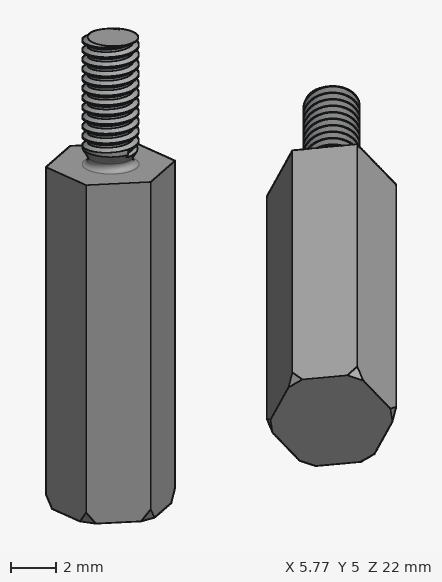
import cadquery as cq
import math

total_height = 22.0
hex_height = 16.0
across_flats = 5.0
across_corners = across_flats / math.cos(math.radians(30))

bevel_depth = 0.22
bevel_height = 0.55

major_diameter = 2.5
minor_diameter = 2.02
ten_turn_advance = 4.5
pitch = ten_turn_advance / 10
neck_diameter = 1.98
neck_radius = (major_diameter - neck_diameter) / 2
flank_angle = math.radians(30)
flank_slope = math.tan(flank_angle)
relief_arc_height = neck_radius * (1 + math.sin(flank_angle))
relief_arc_rise = neck_radius * (1 - math.cos(flank_angle))
relief_cone_height = (neck_radius - relief_arc_rise) / flank_slope
relief_height = relief_arc_height + relief_cone_height

crest_width = pitch / 8
crest_drop = 0.02
groove_overcut = 0.02
blank_overrun = 4 * pitch


def make_hex_body():
    body = cq.Workplane("XY").polygon(6, across_corners).extrude(hex_height)
    corner_radius = across_corners / 2
    bevel = (
        cq.Workplane("XZ")
        .moveTo(corner_radius - bevel_depth, 0)
        .lineTo(corner_radius, 0)
        .lineTo(corner_radius, bevel_height)
        .close()
        .extrude(across_flats / 2, both=True)
    )
    for corner in range(6):
        body = body.cut(bevel.rotate((0, 0, 0), (0, 0, 1), 60 * corner))
    return body


def make_stud():
    major_radius = major_diameter / 2
    waist_radius = neck_diameter / 2
    relief_top = hex_height + relief_height
    return (
        cq.Workplane("XZ")
        .moveTo(0, hex_height)
        .lineTo(major_radius, hex_height)
        .threePointArc(
            (waist_radius, hex_height + neck_radius),
            (waist_radius + relief_arc_rise, hex_height + relief_arc_height),
        )
        .lineTo(major_radius, relief_top)
        .lineTo(major_radius, total_height)
        .lineTo(0, total_height)
        .close()
        .revolve(360, (0, 0, 0), (0, 1, 0))
    )


def make_thread_groove():
    root_radius = minor_diameter / 2
    outer_radius = major_diameter / 2 + groove_overcut
    half_outer = (pitch - crest_width) / 2 + groove_overcut * flank_slope
    half_root = half_outer - (outer_radius - root_radius) * flank_slope

    turns = math.ceil((total_height - hex_height - relief_height) / pitch) + 1
    groove_end = total_height - crest_drop + 1.5 * pitch
    groove_start = groove_end - turns * pitch
    path = cq.Wire.makeHelix(pitch, turns * pitch, root_radius)
    groove = (
        cq.Workplane("XZ")
        .moveTo(root_radius, -half_root)
        .lineTo(outer_radius, -half_outer)
        .lineTo(outer_radius, half_outer)
        .lineTo(root_radius, half_root)
        .close()
        .sweep(cq.Workplane(path), isFrenet=True)
    )
    return groove.translate((0, 0, groove_start))


def make_threaded_stud():
    blank = (
        cq.Workplane("XY")
        .workplane(offset=hex_height - blank_overrun)
        .circle(major_diameter / 2)
        .extrude(total_height - hex_height + 2 * blank_overrun)
    )
    return blank.cut(make_thread_groove()).intersect(make_stud())


result = make_hex_body().union(make_threaded_stud())